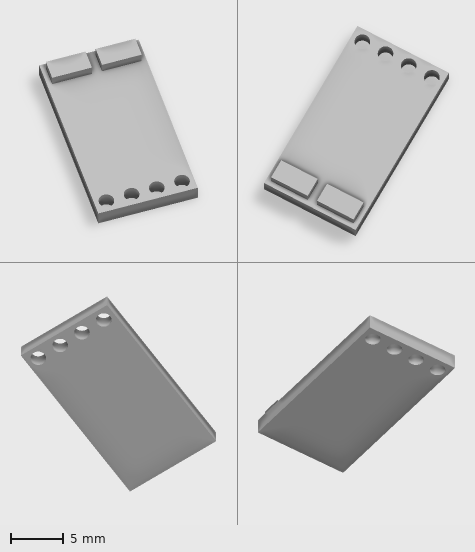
import cadquery as cq

board_length = 18.5
board_width = 10.0
total_height = 2.6
board_thickness = 1.6
block_height = total_height - board_thickness

hole_diameter = 1.5
hole_count = 4
hole_pitch = 2.53
hole_edge_distance = 1.2

block_length = 2.0
block_width = 4.0
block_edge_gap = 0.5


def make_board():
    """Plate with a centred row of through holes along Y."""
    plate = cq.Workplane("XY").box(
        board_length, board_width, board_thickness, centered=(True, True, False)
    )
    hole_x = board_length / 2 - hole_edge_distance
    return (
        plate.faces(">Z").workplane(origin=(hole_x, 0, board_thickness))
        .rarray(0.18, hole_pitch, 1, hole_count)
        .hole(hole_diameter)
        .solids()
    )


def make_block(side):
    """Block resting on the board; side is -1 or +1 along Y."""
    center_x = -board_length / 2 + block_edge_gap + block_length / 2
    center_y = side * (board_width / 2 - block_edge_gap - block_width / 2)
    block = cq.Workplane("XY").box(
        block_length, block_width, block_height, centered=(True, True, False)
    )
    return block.translate((center_x, center_y, board_thickness))


board = make_board()
blocks = [make_block(side) for side in (-1, 1)]

result = cq.Compound.makeCompound([board.val(), *[block.val() for block in blocks]])